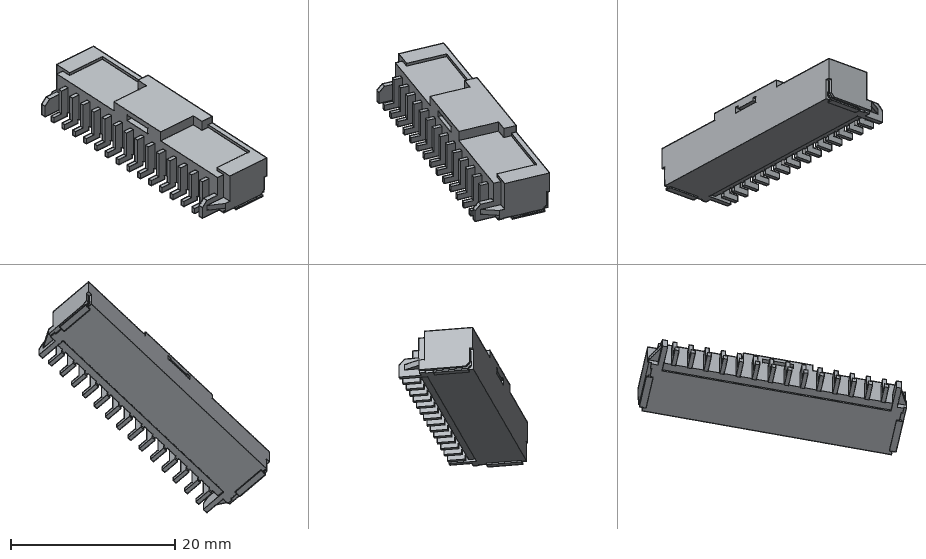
import cadquery as cq


LENGTH = 32.0
DEPTH = 9.4
HEIGHT = 6.4
SHELL_DEPTH = 6.0
SHELL_TOP = 5.47
SHELL_BOTTOM = 0.48
FLOOR_BOTTOM = 0.2
FLOOR_HALF_WIDTH = 15.5
DECK_Z = 5.1
RIM_SIDE = 2.4
RIM_REAR = 0.67

BLOCK_DEPTH = 6.95
BLOCK_HALF_WIDTH = 14.85
EAR_THICKNESS = 0.65
EAR_TOP = 2.5
EAR_CHAMFER = 0.75
FOOT_OUTER = 15.68
GUSSET_BOTTOM = 1.05
GUSSET_TOP = EAR_TOP - EAR_CHAMFER
GUSSET_BASE_DEPTH = 6.7
GUSSET_TIP_DEPTH = 8.7

TAB_HALF_WIDTH = 4.32
WING_HALF_WIDTH = 5.92
WING_DEPTH = 1.65
WINDOW_HALF_WIDTH = 1.92
WINDOW_BOTTOM = 4.9
WINDOW_TOP = 5.7
CATCH_HALF_WIDTH = 1.45
CATCH_DROP = 0.4

NOTCH_DEPTH = 0.4
NOTCH_TOP = 2.8
CORNER_CHAMFER = 0.48

CLIP_INNER = FLOOR_HALF_WIDTH
CLIP_OUTER = FOOT_OUTER
PAD_INNER = 15.1
PAD_OUTER = 15.95
PAD_REAR = 0.58
PAD_FRONT = 4.93
CLIP_SHOULDER_REAR = 0.22
CLIP_SHOULDER_TOP = 1.15
CLIP_SHOULDER_BOTTOM = 0.65
CLIP_BLADE_REAR = 0.32
CLIP_BLADE_TOP = 2.55

PIN_COUNT = 14
PIN_ROW_LENGTH = 26.0
PIN_PITCH = PIN_ROW_LENGTH / (PIN_COUNT - 1)
PIN_WIDTH = 0.5
PIN_TOP = 4.13
PIN_FRONT = 8.03
TAIL_REAR = 7.1
TAIL_FRONT = 9.28
TAIL_THICKNESS = 0.77


def box(x_range, depth_range, z_range):
    """Box between two X values, two depths from the mating face, and two heights."""
    x0, x1 = x_range
    d0, d1 = depth_range
    z0, z1 = z_range
    return cq.Workplane("XY").box(x1 - x0, d1 - d0, z1 - z0, centered=False).translate((x0, -d1, z0))


def centred_box(half_width, depth_range, z_range):
    return box((-half_width, half_width), depth_range, z_range)


def side_plate(x_range, profile):
    """Plate between two X values whose outline is a list of (depth, height) points."""
    x0, x1 = x_range
    points = [(-depth, z) for depth, z in profile]
    return cq.Workplane("YZ", origin=(x0, 0, 0)).polyline(points).close().extrude(x1 - x0)


def both_ends(end_feature):
    """The left-hand feature together with its mirror image on the right."""
    return end_feature.union(end_feature.mirror("YZ"))


def make_shell():
    shell = centred_box(LENGTH / 2, (0, SHELL_DEPTH), (SHELL_BOTTOM, SHELL_TOP))
    recess = centred_box(LENGTH / 2 - RIM_SIDE, (RIM_REAR, SHELL_DEPTH), (DECK_Z, SHELL_TOP))
    corner = side_plate(
        (-LENGTH / 2, -FLOOR_HALF_WIDTH),
        [
            (0, SHELL_BOTTOM),
            (NOTCH_DEPTH + CORNER_CHAMFER, SHELL_BOTTOM),
            (NOTCH_DEPTH, SHELL_BOTTOM + CORNER_CHAMFER),
            (NOTCH_DEPTH, NOTCH_TOP),
            (0, NOTCH_TOP),
        ],
    )
    floor = centred_box(FLOOR_HALF_WIDTH, (0, SHELL_DEPTH), (FLOOR_BOTTOM, SHELL_BOTTOM))
    block = centred_box(BLOCK_HALF_WIDTH, (SHELL_DEPTH, BLOCK_DEPTH), (SHELL_BOTTOM, DECK_Z))
    return shell.cut(recess).cut(both_ends(corner)).union(floor).union(block)


def make_ear():
    """Left ear plate, braced against the shell by a low footed block and a tapered gusset."""
    plate = side_plate(
        (-BLOCK_HALF_WIDTH, -BLOCK_HALF_WIDTH + EAR_THICKNESS),
        [
            (SHELL_DEPTH, FLOOR_BOTTOM),
            (DEPTH, FLOOR_BOTTOM),
            (DEPTH, EAR_TOP - EAR_CHAMFER),
            (DEPTH - EAR_CHAMFER, EAR_TOP),
            (SHELL_DEPTH, EAR_TOP),
        ],
    )
    base = box(
        (-LENGTH / 2, -BLOCK_HALF_WIDTH),
        (SHELL_DEPTH, GUSSET_BASE_DEPTH),
        (SHELL_BOTTOM, GUSSET_TOP),
    )
    foot = box(
        (-FOOT_OUTER, -BLOCK_HALF_WIDTH),
        (SHELL_DEPTH, GUSSET_BASE_DEPTH),
        (FLOOR_BOTTOM, SHELL_BOTTOM),
    )
    gusset = (
        cq.Workplane("XY", origin=(0, 0, GUSSET_BOTTOM))
        .moveTo(-LENGTH / 2, -GUSSET_BASE_DEPTH)
        .lineTo(-BLOCK_HALF_WIDTH, -GUSSET_TIP_DEPTH)
        .lineTo(-BLOCK_HALF_WIDTH, -GUSSET_BASE_DEPTH)
        .close()
        .extrude(GUSSET_TOP - GUSSET_BOTTOM)
    )
    return plate.union(base).union(foot).union(gusset)


def make_clip():
    """Left hold-down clip: an upright blade beside the floor and a flat solder pad under it."""
    blade = side_plate(
        (-CLIP_OUTER, -CLIP_INNER),
        [
            (PAD_REAR, 0),
            (PAD_FRONT, 0),
            (PAD_FRONT, CLIP_BLADE_TOP),
            (CLIP_BLADE_REAR, CLIP_BLADE_TOP),
            (CLIP_BLADE_REAR, CLIP_SHOULDER_TOP),
            (CLIP_SHOULDER_REAR, CLIP_SHOULDER_TOP),
            (CLIP_SHOULDER_REAR, CLIP_SHOULDER_BOTTOM),
            (NOTCH_DEPTH, CLIP_SHOULDER_BOTTOM),
            (NOTCH_DEPTH, SHELL_BOTTOM),
            (PAD_REAR, SHELL_BOTTOM),
        ],
    )
    pad = box((-PAD_OUTER, -PAD_INNER), (PAD_REAR, PAD_FRONT), (0, FLOOR_BOTTOM))
    return blade.union(pad)


def add_latch_housing(housing):
    """Raised tab with rear wings, pierced by a window that has a catch hanging at its rear end."""
    tab = centred_box(TAB_HALF_WIDTH, (0, BLOCK_DEPTH), (DECK_Z, HEIGHT))
    wings = centred_box(WING_HALF_WIDTH, (0, WING_DEPTH), (DECK_Z, HEIGHT))
    window = centred_box(WINDOW_HALF_WIDTH, (0, BLOCK_DEPTH), (WINDOW_BOTTOM, WINDOW_TOP))
    catch = centred_box(CATCH_HALF_WIDTH, (0, RIM_REAR), (WINDOW_TOP - CATCH_DROP, WINDOW_TOP))
    return housing.union(tab).union(wings).cut(window).union(catch)


def make_pin(x_centre):
    """L-shaped pin: an upright against the pin block and a solder tail on the seating plane."""
    return side_plate(
        (x_centre - PIN_WIDTH / 2, x_centre + PIN_WIDTH / 2),
        [
            (BLOCK_DEPTH, PIN_TOP),
            (PIN_FRONT, PIN_TOP),
            (PIN_FRONT, TAIL_THICKNESS),
            (TAIL_FRONT, TAIL_THICKNESS),
            (TAIL_FRONT, 0),
            (TAIL_REAR, 0),
            (TAIL_REAR, SHELL_BOTTOM),
            (BLOCK_DEPTH, SHELL_BOTTOM),
        ],
    )


result = add_latch_housing(make_shell())
result = result.union(both_ends(make_ear()))
result = result.union(both_ends(make_clip()))
for index in range(PIN_COUNT):
    result = result.union(make_pin(index * PIN_PITCH - PIN_ROW_LENGTH / 2))